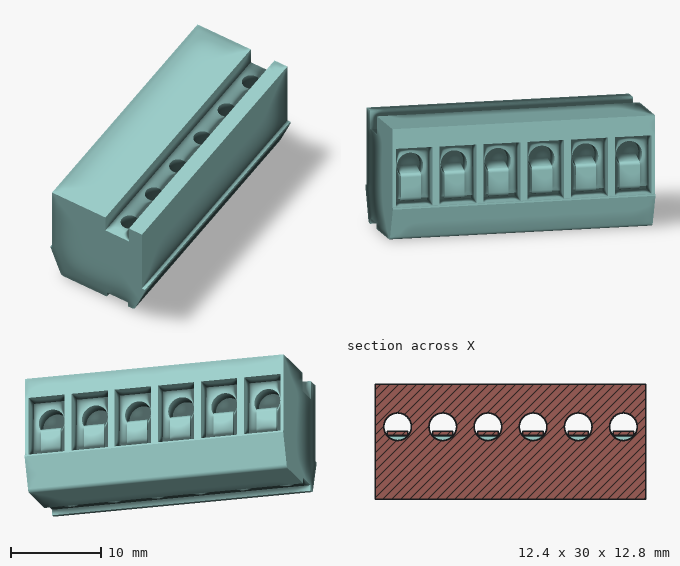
import math

import cadquery as cq

WAYS = 6
PITCH = 5.0
LENGTH = WAYS * PITCH
WIDTH = 12.4
HEIGHT = 12.8

FRONT_WALL_X = 0.2
REAR_WALL_X = 12.0
FRONT_LEDGE_Z = 3.9
REAR_LEDGE_Z = 4.0
SKIRT_TOP_Z = 3.72
SKIRT_INSET = 1.41
SKIRT_FILLET = 0.5
TOP_CHANNEL_X = (7.2, 10.3)
TOP_CHANNEL_FLOOR_Z = 10.7
BASE_GROOVE_X = (7.4, 10.2)
BASE_GROOVE_DEPTH = 0.65

SCREW_HOLE_X = 8.8
SCREW_HOLE_DIAMETER = 2.0

POCKET_WIDTH = 4.2
POCKET_FLOOR_Z = 4.0
POCKET_TOP_Z = 10.55
POCKET_TOP_DEPTH = 2.02
POCKET_TILT = 2.0
FLOOR_RAMP_LENGTH = 1.0
UNDERCUT_TOP_Z = 4.47
UNDERCUT_DEPTH = 2.5

WIRE_HOLE_DIAMETER = 3.0
WIRE_HOLE_Z = 8.1
WIRE_HOLE_DEPTH = 1.7

TONGUE_WIDTH = 2.3
TONGUE_DEPTH = 1.56
TONGUE_THICKNESS = 0.45
TONGUE_BOTTOM_Z = 4.19
TONGUE_TIP_Z = 7.8
TONGUE_TIP_DEPTH = 3.6
TONGUE_SLOPE = 14.5
TONGUE_BEND_RADIUS = 0.45

WAY_CENTERS = [(i - (WAYS - 1) / 2) * PITCH for i in range(WAYS)]
TILT_SLOPE = math.tan(math.radians(POCKET_TILT))


def extrude_along_y(points, width, center_y=0.0):
    """Extrude a closed XZ outline by width, centred on center_y."""
    sketch = cq.Workplane("XZ", origin=(0, center_y, 0)).polyline(points).close()
    return sketch.extrude(width / 2, both=True)


def back_wall_x(z):
    """X of the tilted pocket back wall at height z."""
    return FRONT_WALL_X + POCKET_TOP_DEPTH - (POCKET_TOP_Z - z) * TILT_SLOPE


def make_body():
    outline = [
        (SKIRT_INSET, 0),
        (BASE_GROOVE_X[0], 0),
        (BASE_GROOVE_X[0], BASE_GROOVE_DEPTH),
        (BASE_GROOVE_X[1], BASE_GROOVE_DEPTH),
        (BASE_GROOVE_X[1], 0),
        (WIDTH - SKIRT_INSET, 0),
        (WIDTH, SKIRT_TOP_Z),
        (WIDTH, REAR_LEDGE_Z),
        (REAR_WALL_X, REAR_LEDGE_Z),
        (REAR_WALL_X, HEIGHT),
        (TOP_CHANNEL_X[1], HEIGHT),
        (TOP_CHANNEL_X[1], TOP_CHANNEL_FLOOR_Z),
        (TOP_CHANNEL_X[0], TOP_CHANNEL_FLOOR_Z),
        (TOP_CHANNEL_X[0], HEIGHT),
        (FRONT_WALL_X, HEIGHT),
        (FRONT_WALL_X, FRONT_LEDGE_Z),
        (0, FRONT_LEDGE_Z),
        (0, SKIRT_TOP_Z),
    ]
    body = extrude_along_y(outline, LENGTH)
    for corner_x in (SKIRT_INSET, WIDTH - SKIRT_INSET):
        corner = cq.selectors.NearestToPointSelector((corner_x, 0, 0))
        body = body.edges("|Y").edges(corner).fillet(SKIRT_FILLET)
    return body


def make_pocket(center_y):
    undercut_x = FRONT_WALL_X + UNDERCUT_DEPTH
    ceiling_back_z = POCKET_TOP_Z - POCKET_TOP_DEPTH * TILT_SLOPE
    outline = [
        (0, FRONT_LEDGE_Z),
        (FRONT_WALL_X, FRONT_LEDGE_Z),
        (FRONT_WALL_X + FLOOR_RAMP_LENGTH, POCKET_FLOOR_Z),
        (undercut_x, POCKET_FLOOR_Z),
        (undercut_x, UNDERCUT_TOP_Z),
        (back_wall_x(UNDERCUT_TOP_Z), UNDERCUT_TOP_Z),
        (back_wall_x(ceiling_back_z), ceiling_back_z),
        (FRONT_WALL_X, POCKET_TOP_Z),
        (0, POCKET_TOP_Z),
    ]
    return extrude_along_y(outline, POCKET_WIDTH, center_y)


def make_wire_hole(center_y):
    mouth = cq.Vector(back_wall_x(WIRE_HOLE_Z), center_y, WIRE_HOLE_Z)
    axis = cq.Vector(1, 0, -TILT_SLOPE)
    bore = cq.Solid.makeCylinder(WIRE_HOLE_DIAMETER / 2, WIRE_HOLE_DEPTH, mouth, axis)
    return cq.Workplane(obj=bore)


def make_screw_hole(center_y):
    base = cq.Workplane(origin=(SCREW_HOLE_X, center_y, 0))
    return base.circle(SCREW_HOLE_DIAMETER / 2).extrude(HEIGHT)


def make_tongue(center_y):
    slope = math.radians(TONGUE_SLOPE)
    face_x = FRONT_WALL_X + TONGUE_DEPTH
    inner_x = face_x + TONGUE_THICKNESS
    tip_x = FRONT_WALL_X + TONGUE_TIP_DEPTH
    bend_z = TONGUE_TIP_Z - (tip_x - face_x) * math.tan(slope)
    underside_drop = TONGUE_THICKNESS / math.cos(slope)
    inner_bend_z = bend_z + TONGUE_THICKNESS * math.tan(slope) - underside_drop
    toe_top_z = TONGUE_BOTTOM_Z + TONGUE_THICKNESS
    toe_chord = TONGUE_THICKNESS * math.cos(math.radians(45))
    outline = (
        cq.Workplane("XZ", origin=(0, center_y, 0))
        .moveTo(inner_x, TONGUE_BOTTOM_Z)
        .lineTo(inner_x, inner_bend_z)
        .lineTo(tip_x, TONGUE_TIP_Z - underside_drop)
        .lineTo(tip_x, TONGUE_TIP_Z)
        .lineTo(face_x, bend_z)
        .lineTo(face_x, toe_top_z)
        .threePointArc((inner_x - toe_chord, toe_top_z - toe_chord), (inner_x, TONGUE_BOTTOM_Z))
        .close()
    )
    tongue = outline.extrude(TONGUE_WIDTH / 2, both=True)
    bend = cq.selectors.NearestToPointSelector((face_x, center_y, bend_z))
    return tongue.edges("|Y").edges(bend).fillet(TONGUE_BEND_RADIUS)


result = make_body()
for way_y in WAY_CENTERS:
    result = result.cut(make_pocket(way_y))
    result = result.cut(make_wire_hole(way_y))
    result = result.cut(make_screw_hole(way_y))
    result = result.union(make_tongue(way_y))
result = result.translate((-WIDTH / 2, 0, 0))